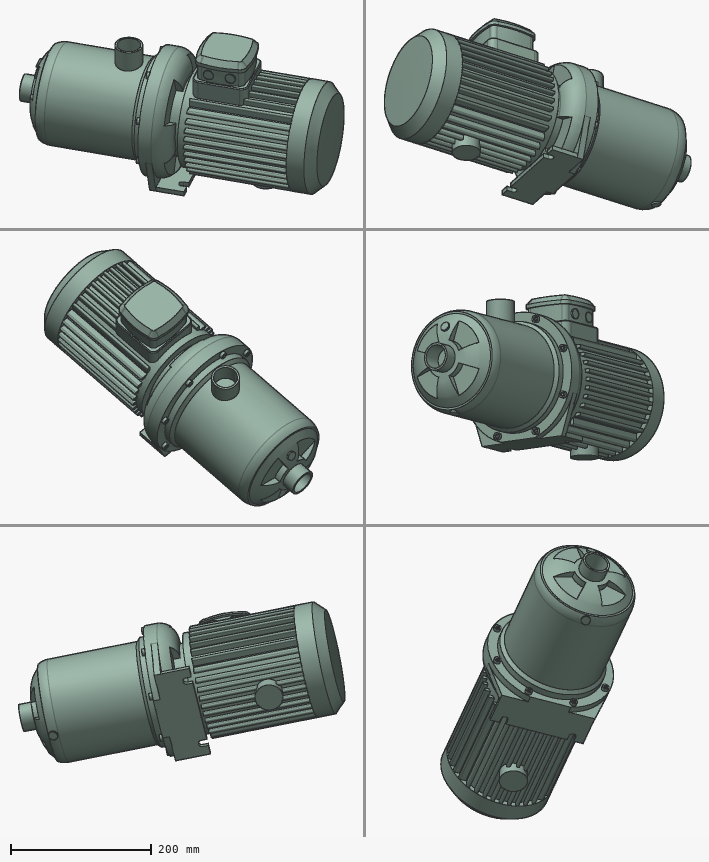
import cadquery as cq
import math


cap_start = 19.5
cap_pocket_floor = 30
cap_end = 39
shoulder_end = 54
collar_cone_start = 184
collar_start = 189
flange_start = 199

lantern_start = 209
dome_start = 218.5
lantern_pocket_floor = 234
lantern_end = 244
motor_start = 251.5
fins_start = 262.5
fan_cover_start = 415.5
fan_cover_chamfer_start = 442
fan_cover_end = 457
pump_end = 458

cap_radius = 136 / 2
casing_radius = 150 / 2
shoulder_arc_radius = 30
shoulder_middle_x = (cap_end + shoulder_end) / 2
collar_radius = 160 / 2
flange_radius = 190 / 2
lantern_end_radius = 66
neck_radius = 120 / 2
motor_radius = 148 / 2
fan_cover_radius = 163 / 2
fan_cover_end_radius = 67
fan_cover_end_rise = pump_end - fan_cover_end
fan_cover_end_arc_radius = (fan_cover_end_radius**2 + fan_cover_end_rise**2) / (2 * fan_cover_end_rise)

cap_dome_middle = (30, 57.5)
lantern_dome_middle = (235, 86.5)

port_radius = 39.7 / 2
port_bore_radius = 33.7 / 2
port_bore_depth = 29
outlet_x = 157
outlet_top = 104

spoke_count = 4
cap_hub_radius = 27.5
cap_spoke_half_angle = 19.5
lantern_spoke_half_angle = 22
lantern_pocket_inner_radius = neck_radius - 10

plug_radius = 13.5 / 2
plug_height = 2
plug_root = 2
vent_seat = (23.6, 46.5)
vent_tilt = 22
drain_seat = (shoulder_middle_x, 74)
drain_tilt = 75

foot_bottom = -90
foot_half_width = 70
foot_pad_thickness = 7
foot_pad_end = 260
foot_slot_width = 10
foot_slot_depth = 13
foot_slot_y = 51

screw_count = 8
screw_circle_radius = 88
screw_head_radius = 10 / 2
screw_head_height = 5
socket_width = 5
socket_depth = 2.5

fin_pitch = 12.3
fins_per_side = 9
fin_thickness = 5
motor_boss_radius = 40 / 2
motor_boss_x = 361

box_center_x = 303
box_base_half = 41
box_base_corner_radius = 10
box_base_top = 90
box_base_edge = 1.5
box_wall_half = 38
box_lid_half = 41
box_lid_bottom = 115
box_lid_rim_top = 120.5
box_top = 129
box_roof_taper = 42
box_side_bulge = 3
box_corner_start = 27.5
gland_radius = 15 / 2
gland_spacing = 32.6
gland_z = 102.5
gland_face_y = -38.5


def disc(x_start, x_end, radius):
    """A cylinder along the pump axis."""
    return cq.Workplane("YZ", origin=(x_start, 0, 0)).circle(radius).extrude(x_end - x_start)


def on_arc(center, radius, x):
    """Point at X on the outer half of a circle in the (X, radius) plane."""
    return (x, center[1] + math.sqrt(radius**2 - (x - center[0]) ** 2))


def wedge_pockets(x_start, x_end, inner_radius, outer_radius, spoke_half_angle):
    """Ring sectors that are left free between radial spokes."""
    half_angle = math.radians(180 / spoke_count - spoke_half_angle)

    def polar(radius, angle):
        return (radius * math.cos(angle), radius * math.sin(angle))

    sector = (
        cq.Workplane("YZ", origin=(x_start, 0, 0))
        .moveTo(*polar(inner_radius, -half_angle))
        .lineTo(*polar(outer_radius, -half_angle))
        .threePointArc((outer_radius, 0), polar(outer_radius, half_angle))
        .lineTo(*polar(inner_radius, half_angle))
        .threePointArc((inner_radius, 0), polar(inner_radius, -half_angle))
        .close()
        .extrude(x_end - x_start)
    )
    step = 360 / spoke_count
    pockets = cq.Workplane()
    for index in range(spoke_count):
        pockets = pockets.add(sector.rotate((0, 0, 0), (1, 0, 0), (index + 0.5) * step))
    return pockets.combine()


def make_hydraulics():
    """Cap, casing, collar, flange and lantern dome as one revolved profile with pockets."""
    shoulder_center = (shoulder_end, casing_radius - shoulder_arc_radius)
    shoulder_start = on_arc(shoulder_center, shoulder_arc_radius, cap_end)
    shoulder_middle = on_arc(shoulder_center, shoulder_arc_radius, shoulder_middle_x)
    body = (
        cq.Workplane("XY")
        .moveTo(cap_start, 0)
        .lineTo(cap_start, port_radius)
        .threePointArc(cap_dome_middle, (cap_end, cap_radius))
        .lineTo(*shoulder_start)
        .threePointArc(shoulder_middle, (shoulder_end, casing_radius))
        .lineTo(collar_cone_start, casing_radius)
        .lineTo(collar_start, collar_radius)
        .lineTo(flange_start, collar_radius)
        .lineTo(flange_start, flange_radius)
        .lineTo(dome_start, flange_radius)
        .threePointArc(lantern_dome_middle, (lantern_end, lantern_end_radius))
        .lineTo(lantern_end, 0)
        .close()
        .revolve(360, (0, 0, 0), (1, 0, 0))
    )
    cap_pockets = wedge_pockets(0, cap_pocket_floor, cap_hub_radius, cap_radius, cap_spoke_half_angle)
    lantern_pockets = wedge_pockets(
        lantern_pocket_floor,
        lantern_end,
        lantern_pocket_inner_radius,
        flange_radius,
        lantern_spoke_half_angle,
    )
    body = body.cut(cap_pockets).cut(lantern_pockets)
    below_foot = cq.Workplane("XY").box(
        lantern_end, 2 * flange_radius, flange_radius, centered=(False, True, False)
    )
    return body.cut(below_foot.translate((0, 0, foot_bottom - flange_radius)))


def make_motor_core():
    """Neck (rooted inside the lantern), motor barrel and fan cover as one revolved profile."""
    cover_end_middle = on_arc(
        (pump_end - fan_cover_end_arc_radius, 0), fan_cover_end_arc_radius, (fan_cover_end + pump_end) / 2
    )
    return (
        cq.Workplane("XY")
        .moveTo(lantern_start, 0)
        .lineTo(lantern_start, neck_radius)
        .lineTo(motor_start, neck_radius)
        .lineTo(motor_start, motor_radius)
        .lineTo(fan_cover_start, motor_radius)
        .lineTo(fan_cover_start, fan_cover_radius)
        .lineTo(fan_cover_chamfer_start, fan_cover_radius)
        .lineTo(fan_cover_end, fan_cover_end_radius)
        .threePointArc(cover_end_middle, (pump_end, 0))
        .close()
        .revolve(360, (0, 0, 0), (1, 0, 0))
    )


def make_foot():
    """Upright plate tangent to the flange, with a pad at its bottom."""
    corner_distance = math.hypot(foot_half_width, foot_bottom)
    tangent_angle = math.atan2(foot_bottom, foot_half_width) + math.acos(flange_radius / corner_distance)
    tangent_y = flange_radius * math.cos(tangent_angle)
    tangent_z = flange_radius * math.sin(tangent_angle)
    plate = (
        cq.Workplane("YZ", origin=(lantern_start, 0, 0))
        .polyline(
            [
                (-foot_half_width, foot_bottom),
                (foot_half_width, foot_bottom),
                (tangent_y, tangent_z),
                (-tangent_y, tangent_z),
            ]
        )
        .close()
        .extrude(dome_start - lantern_start)
    )
    pad = cq.Workplane("XY").box(
        foot_pad_end - lantern_start, 2 * foot_half_width, foot_pad_thickness, centered=(False, True, False)
    )
    slots = (
        cq.Workplane("XY", origin=(0, 0, foot_bottom))
        .pushPoints([(foot_pad_end, -foot_slot_y), (foot_pad_end, foot_slot_y)])
        .slot2D(2 * foot_slot_depth, foot_slot_width)
        .extrude(foot_pad_thickness)
    )
    return plate.union(pad.translate((lantern_start, 0, foot_bottom))).cut(slots)


def make_plug(seat, tilt, up):
    """Short cylinder on a domed face, its axis tilted by `tilt` degrees from -X towards the outside."""
    x, radial = seat
    angle = math.radians(tilt)
    direction = cq.Vector(-math.cos(angle), 0, up * math.sin(angle))
    root = cq.Vector(x, 0, up * radial) - direction * plug_root
    return cq.Workplane(cq.Solid.makeCylinder(plug_radius, plug_root + plug_height, root, direction))


def make_fin(x_start, y):
    """Upright fin at `y` whose round tip touches the fan cover circle."""
    tip_radius = fin_thickness / 2
    tip_z = math.sqrt((fan_cover_radius - tip_radius) ** 2 - y**2)
    return (
        cq.Workplane("YZ", origin=(x_start, 0, 0))
        .moveTo(y - tip_radius, 0)
        .lineTo(y - tip_radius, tip_z)
        .threePointArc((y, tip_z + tip_radius), (y + tip_radius, tip_z))
        .lineTo(y + tip_radius, 0)
        .close()
        .extrude(fan_cover_start - x_start)
    )


def make_fins():
    """Parallel fins on the four sides of the motor; the top ones under the terminal box are shortened."""
    fins = []
    for side in range(4):
        for index in range(fins_per_side):
            y = (index - (fins_per_side - 1) / 2) * fin_pitch
            under_box = side == 0 and abs(y) < box_base_half
            fin = make_fin(box_center_x if under_box else fins_start, y)
            fins.append(fin.rotate((0, 0, 0), (1, 0, 0), 90 * side).val())
    return fins


def bulged_square(half_width, bottom):
    """Square outline with outward-curved sides and round corners."""
    side = half_width - box_side_bulge
    start = box_corner_start
    corner_radius = side - start
    corner = start + corner_radius * math.sqrt(0.5)
    outline = cq.Workplane("XY", origin=(box_center_x, 0, bottom)).moveTo(-start, -side)
    for turn in range(4):
        angle = math.radians(90 * turn)
        points = []
        for x, y in [(0, -half_width), (start, -side), (corner, -corner), (side, -start)]:
            turned_x = x * math.cos(angle) - y * math.sin(angle)
            turned_y = x * math.sin(angle) + y * math.cos(angle)
            points.append((turned_x, turned_y))
        side_middle, side_end, corner_middle, corner_end = points
        outline = outline.threePointArc(side_middle, side_end).threePointArc(corner_middle, corner_end)
    return outline.close()


def make_terminal_box():
    """Square base on the motor, bulged walls, lid with sloped edges and two cable entry discs."""
    base = (
        cq.Workplane("XY", origin=(box_center_x, 0, 0))
        .rect(2 * box_base_half, 2 * box_base_half)
        .extrude(box_base_top)
        .edges("|Z")
        .fillet(box_base_corner_radius)
        .faces(">Z")
        .edges()
        .chamfer(box_base_edge)
    )
    walls = bulged_square(box_wall_half, box_base_top).extrude(box_lid_bottom - box_base_top)
    rim = bulged_square(box_lid_half, box_lid_bottom).extrude(box_lid_rim_top - box_lid_bottom)
    roof_height = box_top - box_lid_rim_top
    roof = bulged_square(box_lid_half, box_lid_rim_top).extrude(roof_height, taper=box_roof_taper)
    box = base.union(walls).union(rim).union(roof)
    for side in (-1, 1):
        gland = (
            cq.Workplane("XZ", origin=(box_center_x + side * gland_spacing / 2, gland_face_y, gland_z))
            .circle(gland_radius)
            .extrude(gland_face_y)
        )
        box = box.union(gland)
    return box


def make_pump():
    """Hydraulics, motor, foot, ports, plugs, fins and terminal box as one solid."""
    pump = make_hydraulics().union(make_motor_core()).union(make_foot())
    pump = pump.union(disc(0, cap_pocket_floor, port_radius))
    pump = pump.union(cq.Workplane("XY", origin=(outlet_x, 0, 0)).circle(port_radius).extrude(outlet_top))
    pump = pump.union(make_plug(vent_seat, vent_tilt, 1))
    pump = pump.union(make_plug(drain_seat, drain_tilt, -1))
    pump = cq.Workplane(pump.val().fuse(*make_fins()).clean())
    pump = pump.union(make_terminal_box())
    motor_boss = cq.Workplane("XY", origin=(motor_boss_x, 0, foot_bottom)).circle(motor_boss_radius)
    pump = pump.union(motor_boss.extrude(-foot_bottom))
    pump = pump.cut(disc(0, port_bore_depth, port_bore_radius))
    outlet_bore = cq.Workplane("XY", origin=(outlet_x, 0, outlet_top)).circle(port_bore_radius)
    return pump.cut(outlet_bore.extrude(-port_bore_depth))


def make_screw(angle):
    """Socket head screw seated on the casing flange."""
    y = screw_circle_radius * math.cos(angle)
    z = screw_circle_radius * math.sin(angle)
    head_start = flange_start - screw_head_height
    head = disc(head_start, flange_start, screw_head_radius)
    socket = cq.Workplane("YZ", origin=(head_start, 0, 0)).polygon(6, socket_width, circumscribed=True)
    return head.cut(socket.extrude(socket_depth)).translate((0, y, z))


pump = make_pump()
screws = []
for index in range(screw_count):
    screws.append(make_screw(2 * math.pi * (index + 0.5) / screw_count))

result = cq.Compound.makeCompound([pump.solids().val(), *[screw.solids().val() for screw in screws]])